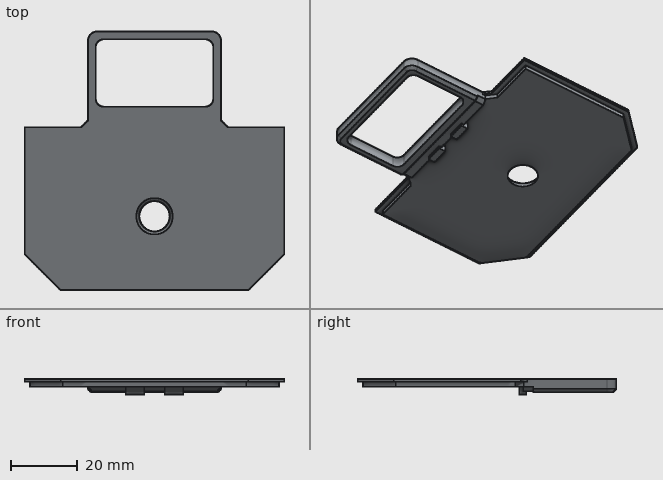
import cadquery as cq
import math

FLANGE_THICKNESS = 0.9
PLATE_DEPTH = 2.4
HANDLE_DEPTH = 4.0
NECK_DEPTH = 3.75
TAB_DEPTH = 4.7

PLATE_WIDTH = 77.7
PLATE_FRONT_Y = -22.1
TOTAL_LENGTH = 77.38
CORNER_CHAMFER = 10.8
LOWER_PLATE_INSET = 1.6

HANDLE_WIDTH = 39.9
HANDLE_REACH = 28.65
HANDLE_CORNER_RADIUS = 2.9
FRAME_WALL = 2.4
WINDOW_LENGTH = 20.1
WINDOW_CORNER_RADIUS = 2.4
HANDLE_BOTTOM_CHAMFER = 1.0
FULL_DEPTH_LENGTH = 24.8
NECK_LENGTH = 27.8

FLANGE_GUSSET = 2.0
LOWER_GUSSET = 2.6

HOLE_TOP_DIAMETER = 10.9
HOLE_BOTTOM_DIAMETER = 9.0

TAB_WIDTH = 5.6
TAB_LENGTH = 2.2
TAB_GAP = 6.0
TAB_OVERHANG = 1.3

HANDLE_END_Y = PLATE_FRONT_Y + TOTAL_LENGTH
PLATE_BACK_Y = HANDLE_END_Y - HANDLE_REACH
NECK_FRONT_Y = HANDLE_END_Y - NECK_LENGTH


def plate(inset, corner_chamfer, gusset, depth):
    """Plate with cut front corners and gussets that run into the handle sides."""
    half_width = PLATE_WIDTH / 2 - inset
    half_handle = HANDLE_WIDTH / 2
    front_y = PLATE_FRONT_Y + inset
    back_y = PLATE_BACK_Y - inset
    return (
        cq.Workplane("XY")
        .moveTo(0, front_y)
        .lineTo(half_width - corner_chamfer, front_y)
        .lineTo(half_width, front_y + corner_chamfer)
        .lineTo(half_width, back_y)
        .lineTo(half_handle + gusset, back_y)
        .lineTo(half_handle, back_y + gusset)
        .lineTo(0, back_y + gusset)
        .mirrorY()
        .extrude(-depth)
    )


def handle_block(front_y, depth, bottom_chamfer):
    """Handle from its rounded end to front_y, bevelled below on its sides and end."""
    length = HANDLE_END_Y - front_y
    return (
        cq.Workplane("XY")
        .center(0, front_y + length / 2)
        .rect(HANDLE_WIDTH, length)
        .extrude(-depth)
        .edges("|Z and >Y")
        .fillet(HANDLE_CORNER_RADIUS)
        .faces("<Z")
        .edges("not <Y")
        .chamfer(bottom_chamfer)
    )


def window():
    """Rounded finger opening through the handle."""
    center_y = HANDLE_END_Y - FRAME_WALL - WINDOW_LENGTH / 2
    return (
        cq.Workplane("XY")
        .center(0, center_y)
        .rect(HANDLE_WIDTH - 2 * FRAME_WALL, WINDOW_LENGTH)
        .extrude(-HANDLE_DEPTH)
        .edges("|Z")
        .fillet(WINDOW_CORNER_RADIUS)
    )


def tapered_hole():
    """Hole that narrows evenly from the top face to the underside of the plate."""
    return (
        cq.Workplane("XY")
        .circle(HOLE_TOP_DIAMETER / 2)
        .workplane(offset=-PLATE_DEPTH)
        .circle(HOLE_BOTTOM_DIAMETER / 2)
        .loft()
    )


def tabs():
    """Two tabs hanging below the plate, standing out in front of the handle root."""
    spacing = TAB_GAP + TAB_WIDTH
    center_y = NECK_FRONT_Y - TAB_OVERHANG + TAB_LENGTH / 2
    return (
        cq.Workplane("XY")
        .center(0, center_y)
        .pushPoints([(-spacing / 2, 0), (spacing / 2, 0)])
        .rect(TAB_WIDTH, TAB_LENGTH)
        .extrude(-TAB_DEPTH)
    )


lower_corner_chamfer = CORNER_CHAMFER - (2 - math.sqrt(2)) * LOWER_PLATE_INSET

flange = plate(0, CORNER_CHAMFER, FLANGE_GUSSET, FLANGE_THICKNESS)
lower_plate = plate(LOWER_PLATE_INSET, lower_corner_chamfer, LOWER_GUSSET, PLATE_DEPTH)
handle = handle_block(HANDLE_END_Y - FULL_DEPTH_LENGTH, HANDLE_DEPTH, HANDLE_BOTTOM_CHAMFER)
neck = handle_block(NECK_FRONT_Y, NECK_DEPTH, NECK_DEPTH - PLATE_DEPTH)

result = (
    flange.union(lower_plate)
    .union(neck)
    .union(handle)
    .union(tabs())
    .cut(window())
    .cut(tapered_hole())
)